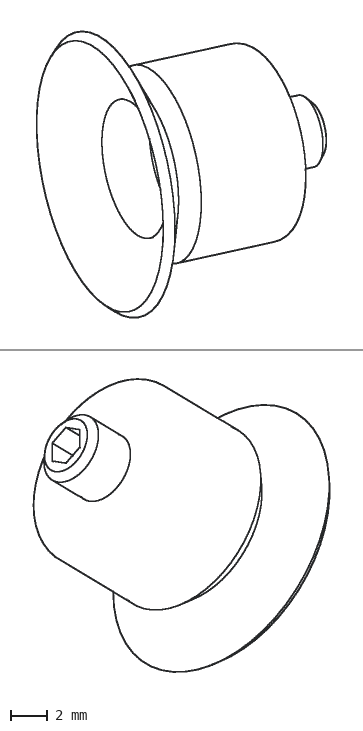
import cadquery as cq
import math

lip_end = 0.5
neck_position = 2.38
body_start = 3.35
body_end = 10.0
total_length = 13.0

mouth_radius = 7.5
lip_radius = 15.84 / 2
neck_radius = 4.7
body_radius = 11.0 / 2
stem_radius = 4.0 / 2

body_fillet = 0.7
stem_chamfer = 0.43

bore_radius = 7.7 / 2
bore_floor = 5.0
cavity_cone_angle = 30.0
hex_across_flats = 2.0

cavity_cone_depth = (mouth_radius - bore_radius) * math.tan(math.radians(cavity_cone_angle))


def revolve_about_y(profile):
    """Close a (radius, Y) profile and turn it fully about the Y axis."""
    return profile.close().revolve(360, (0, 0, 0), (0, 1, 0))


def make_outer_body():
    """Flared lip, waisted neck, cylindrical body with rounded shoulder, and stem."""
    fillet_middle = body_fillet * math.sqrt(0.5)
    shoulder_radius = body_radius - body_fillet
    fillet_start = body_end - body_fillet
    profile = (
        cq.Workplane("XY")
        .moveTo(0, 0)
        .lineTo(mouth_radius, 0)
        .lineTo(lip_radius, lip_end)
        .lineTo(neck_radius, neck_position)
        .lineTo(body_radius, body_start)
        .lineTo(body_radius, fillet_start)
        .threePointArc(
            (shoulder_radius + fillet_middle, fillet_start + fillet_middle),
            (shoulder_radius, body_end),
        )
        .lineTo(stem_radius, body_end)
        .lineTo(stem_radius, total_length - stem_chamfer)
        .lineTo(stem_radius - stem_chamfer, total_length)
        .lineTo(0, total_length)
    )
    return revolve_about_y(profile)


def make_cavity():
    """Conical mouth narrowing to a flat-bottomed bore."""
    profile = (
        cq.Workplane("XY")
        .moveTo(0, 0)
        .lineTo(mouth_radius, 0)
        .lineTo(bore_radius, cavity_cone_depth)
        .lineTo(bore_radius, bore_floor)
        .lineTo(0, bore_floor)
    )
    return revolve_about_y(profile)


def make_hex_passage():
    """Hexagonal prism along the full length, with corners pointing up and down Z."""
    corner_radius = hex_across_flats / math.sqrt(3)
    sides = 6
    corners = []
    for i in range(sides):
        angle = math.pi / 2 + i * 2 * math.pi / sides
        corners.append((corner_radius * math.cos(angle), corner_radius * math.sin(angle)))
    return cq.Workplane("XZ").polyline(corners).close().extrude(-total_length)


result = make_outer_body().cut(make_cavity()).cut(make_hex_passage())